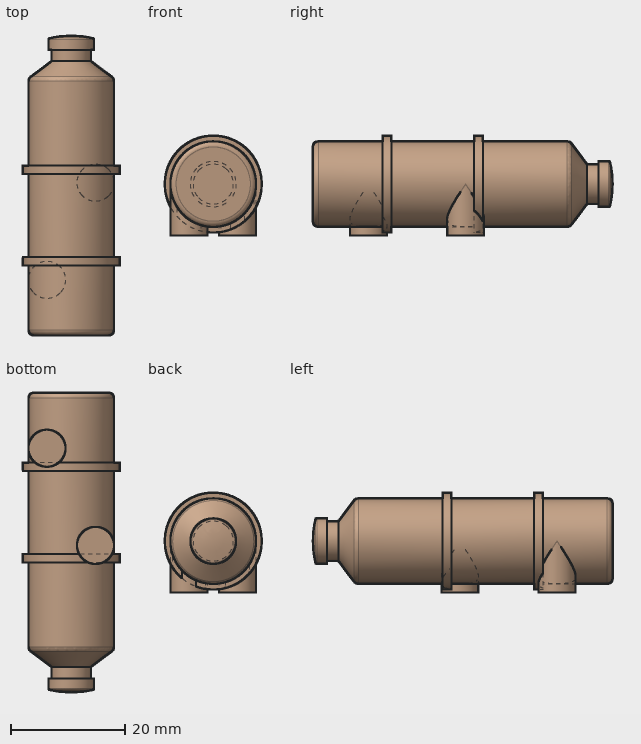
import cadquery as cq


body_radius = 7.5
front_round = 1.0
shoulder_start = 45.0
shoulder_round = 1.0

neck_radius = 3.5
neck_start = 48.0
cap_radius = 4.0
cap_start = 50.0
cap_round = 0.3
cap_rim = 52.0
total_length = 52.5

collar_radius = 8.5
collar_width = 1.5
collar_starts = (12.25, 28.25)

port_diameter = 6.5
port_offset = body_radius - port_diameter / 2
port_bottom = -9.0
port_centers = ((-port_offset, 9.75), (port_offset, 26.75))


def make_body():
    """Revolve the outline of the body, cone, neck and domed cap about Y."""
    dome_height = total_length - cap_rim
    dome_radius = (cap_radius**2 + dome_height**2) / (2 * dome_height)
    dome_center = total_length - dome_radius
    mid_radius = cap_radius / 2
    mid_position = dome_center + (dome_radius**2 - mid_radius**2) ** 0.5

    outline = (
        cq.Workplane("YZ")
        .lineTo(0, body_radius)
        .lineTo(shoulder_start, body_radius)
        .lineTo(neck_start, neck_radius)
        .lineTo(cap_start, neck_radius)
        .lineTo(cap_start, cap_radius)
        .lineTo(cap_rim, cap_radius)
        .threePointArc((mid_position, mid_radius), (total_length, 0))
        .close()
    )
    return outline.revolve(360, (0, 0, 0), (1, 0, 0))


def round_circle(solid, radius, position, size):
    """Round the circular edge of the given radius at the given Y position."""
    margin = 0.1
    selector = cq.selectors.BoxSelector(
        (-radius - margin, position - margin, -radius - margin),
        (radius + margin, position + margin, radius + margin),
        boundingbox=True,
    )
    return solid.edges(selector).fillet(size)


def make_collar(start):
    """Make one collar as a disc through the body."""
    return cq.Workplane("XZ", origin=(0, start, 0)).circle(collar_radius).extrude(-collar_width)


def make_port(x, y):
    """Make one port, extending from its lower end up to the body axis."""
    lower_end = cq.Workplane("XY", origin=(x, y, port_bottom)).circle(port_diameter / 2)
    return lower_end.extrude(-port_bottom)


result = make_body()
result = round_circle(result, body_radius, 0, front_round)
result = round_circle(result, body_radius, shoulder_start, shoulder_round)
result = round_circle(result, cap_radius, cap_rim, cap_round)
for collar_start in collar_starts:
    result = result.union(make_collar(collar_start))
for port_x, port_y in port_centers:
    result = result.union(make_port(port_x, port_y))